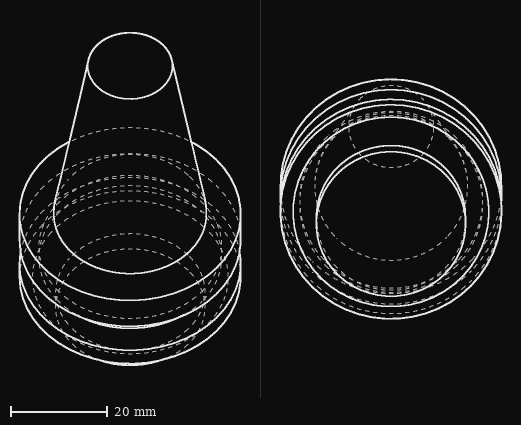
import cadquery as cq
import math

total_height = 80.4
flange_diameter = 46.0
groove_diameter = 38.0
gauge_diameter = 31.75
nose_diameter = 31.0
shoulder_diameter = 40.7

nose_height = 5.1
flange_bottom = 10.0
groove_centre = 18.4
flange_top = 31.0
gauge_height = 32.0

groove_floor_width = 3.4
groove_wall_angle = 30

taper_ratio = 7 / 24

top_diameter = gauge_diameter - taper_ratio * (total_height - gauge_height)
groove_depth = (flange_diameter - groove_diameter) / 2
wall_height = groove_depth * math.tan(math.radians(groove_wall_angle))
floor_bottom = groove_centre - groove_floor_width / 2
floor_top = groove_centre + groove_floor_width / 2

section = [
    (nose_diameter, 0),
    (nose_diameter, nose_height),
    (shoulder_diameter, flange_bottom),
    (flange_diameter, flange_bottom),
    (flange_diameter, floor_bottom - wall_height),
    (groove_diameter, floor_bottom),
    (groove_diameter, floor_top),
    (flange_diameter, floor_top + wall_height),
    (flange_diameter, flange_top),
    (gauge_diameter, flange_top),
    (gauge_diameter, gauge_height),
    (top_diameter, total_height),
]
outline = [(0, 0)] + [(diameter / 2, height) for diameter, height in section] + [(0, total_height)]

result = cq.Workplane("XZ").polyline(outline).close().revolve(360, (0, 0, 0), (0, 1, 0))